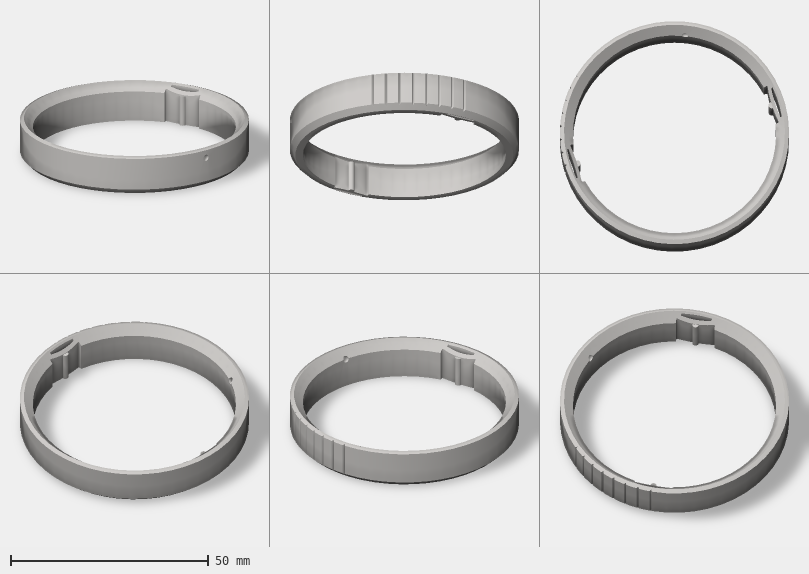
import cadquery as cq
import math

outer_radius = 29.0
height = 10.1
crest_radius = 27.95
bore_radius = 25.7
bevel_height = 0.4
bottom_chamfer = 1.4
funnel_base_z = height - (crest_radius - bore_radius)

pad_half_width = 5.0
pad_face_radius = 25.8
pad_curve_radius = 38.3
pad_corner_fillet = 0.25
recess_overshoot = 0.6
slot_half_width = 3.95
slot_outer_radius = 27.5
slot_inner_radius = 26.6
slot_end_fillet = 0.1
bump_diameter = 1.6
bump_center_radius = 25.75

hole_diameter = 1.6
hole_z = 7.65
hole_angle = -23.0

notch_count = 8
notch_pitch = 6.8
notch_depth = 0.45
notch_half_width = 0.35


def drop(radius, half_width):
    """Sagitta of an arc over the given half width."""
    return radius - math.sqrt(radius**2 - half_width**2)


def ring():
    profile = [
        (bore_radius, 0),
        (outer_radius - bottom_chamfer, 0),
        (outer_radius, bottom_chamfer),
        (outer_radius, height - bevel_height),
        (crest_radius, height),
        (bore_radius, funnel_base_z),
    ]
    return cq.Workplane("XZ").polyline(profile).close().revolve(360, (0, 0), (0, 1))


def pad_recess():
    """Clearance inside the +Y pad, bounded by the bulging pad face."""
    edge_y = pad_face_radius + drop(pad_curve_radius, pad_half_width)
    inner_y = bore_radius - drop(bore_radius, pad_half_width) - recess_overshoot
    return (
        cq.Workplane("XY")
        .moveTo(-pad_half_width, inner_y)
        .lineTo(-pad_half_width, edge_y)
        .threePointArc((0, pad_face_radius), (pad_half_width, edge_y))
        .lineTo(pad_half_width, inner_y)
        .close()
        .extrude(height)
        .edges("|Z and >Y")
        .fillet(pad_corner_fillet)
    )


def pad_slot():
    """Lens-shaped slot behind the +Y pad."""
    inner_end_y = slot_inner_radius + drop(pad_curve_radius, slot_half_width)
    outer_end_y = slot_outer_radius - drop(slot_outer_radius, slot_half_width)
    return (
        cq.Workplane("XY")
        .moveTo(-slot_half_width, inner_end_y)
        .threePointArc((0, slot_inner_radius), (slot_half_width, inner_end_y))
        .lineTo(slot_half_width, outer_end_y)
        .threePointArc((0, slot_outer_radius), (-slot_half_width, outer_end_y))
        .close()
        .extrude(height)
        .edges("|Z")
        .fillet(slot_end_fillet)
    )


def pad_bump():
    """Round rib on the +Y pad face; its outer half merges into the pad."""
    return cq.Workplane("XY").center(0, bump_center_radius).circle(bump_diameter / 2).extrude(funnel_base_z)


def radial_hole():
    return (
        cq.Workplane("YZ")
        .center(0, hole_z)
        .circle(hole_diameter / 2)
        .extrude(outer_radius)
        .rotate((0, 0, 0), (0, 0, 1), hole_angle)
    )


def index_notch():
    """V groove along the outer wall at +Y; its mouth lies as far outside the wall as its root lies inside."""
    root_y = outer_radius - notch_depth
    mouth_y = outer_radius + notch_depth
    mouth_half_width = 2 * notch_half_width
    return (
        cq.Workplane("XY")
        .polyline([(0, root_y), (mouth_half_width, mouth_y), (-mouth_half_width, mouth_y)])
        .close()
        .extrude(height)
    )


result = ring()
for side_angle in (0, 180):
    for cutter in (pad_recess(), pad_slot()):
        result = result.cut(cutter.rotate((0, 0, 0), (0, 0, 1), side_angle))
    bump = pad_bump().cut(pad_slot())
    result = result.union(bump.rotate((0, 0, 0), (0, 0, 1), side_angle))

result = result.cut(radial_hole())

for index in range(notch_count):
    result = result.cut(index_notch().rotate((0, 0, 0), (0, 0, 1), -index * notch_pitch))